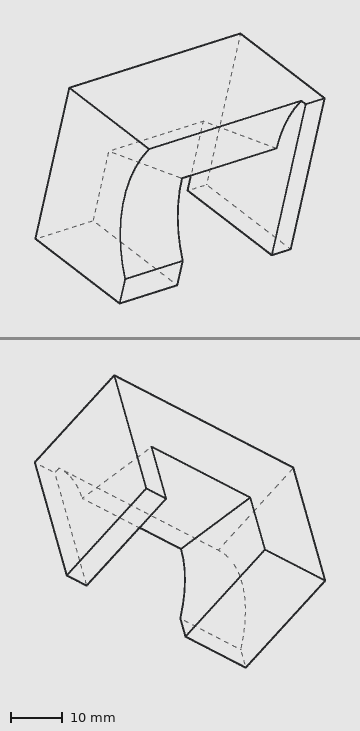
import cadquery as cq
import math

depth = 45.0
block_width = 24.98
block_height = 35.0
tilt = 16.0

front_leg = 15.15
rear_leg = 5.0
slot_ceiling = 22.35

hollow_radius = 28.0
hollow_x = 52.15
hollow_z = 14.2

tilt_cos = math.cos(math.radians(tilt))
tilt_sin = math.sin(math.radians(tilt))
low_corner = (block_width * tilt_cos, 0)
left_corner = (0, block_width * tilt_sin)
lean_x = block_height * tilt_sin
rise_z = block_height * tilt_cos
outer_x = low_corner[0] + lean_x
rear_leg_front = depth - rear_leg


def tilted_block():
    right_corner = (low_corner[0] + lean_x, rise_z)
    top_corner = (lean_x, left_corner[1] + rise_z)
    outline = [left_corner, low_corner, right_corner, top_corner]
    return cq.Workplane("XZ").polyline(outline).close().extrude(-depth)


def underside_slot():
    slot_length = rear_leg_front - front_leg
    slot = cq.Workplane("XY").box(outer_x, slot_length, slot_ceiling, centered=False)
    return slot.translate((0, front_leg, 0))


def side_hollow():
    axis = cq.Workplane("XZ").center(hollow_x, hollow_z)
    return axis.circle(hollow_radius).extrude(-rear_leg_front)


result = tilted_block().cut(underside_slot()).cut(side_hollow())